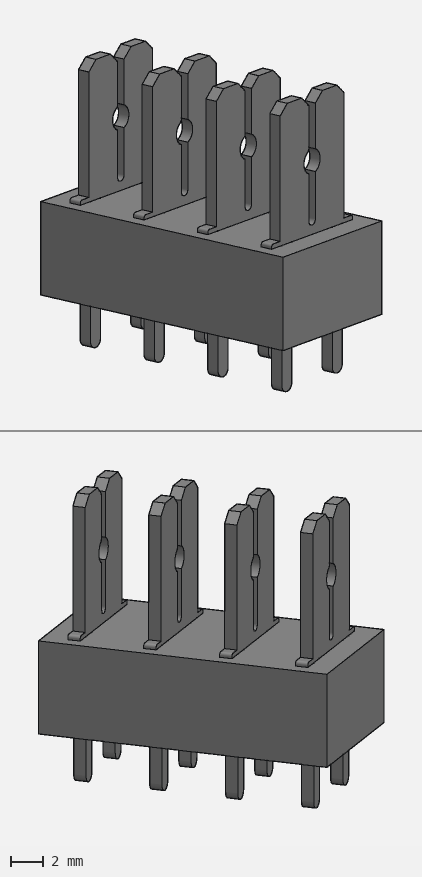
import cadquery as cq

HOUSING_LENGTH = 19.0
HOUSING_WIDTH = 9.8
HOUSING_HEIGHT = 6.0

CONTACT_COUNT = 4
CONTACT_PITCH = 5.0
CONTACT_THICKNESS = 0.82

BLADE_WIDTH = 6.33
BLADE_HEIGHT = 9.0
TIP_CHAMFER_WIDTH = 0.7
TIP_CHAMFER_HEIGHT = 0.65
SLOT_WIDTH = 0.65
SLOT_FLOOR_HEIGHT = 0.6
HOLE_DIAMETER = 1.6
HOLE_HEIGHT = 4.7

SHOULDER_WIDTH = 8.04
SHOULDER_HEIGHT = 0.3
SHOULDER_RADIUS = 0.19

LEG_SPACING = 5.0
LEG_WIDTH = 1.0
LEG_PROTRUSION = 3.5

CONTACT_POSITIONS = [
    (index - (CONTACT_COUNT - 1) / 2) * CONTACT_PITCH for index in range(CONTACT_COUNT)
]
LEG_POSITIONS = [-LEG_SPACING / 2, LEG_SPACING / 2]
BLADE_TOP = HOUSING_HEIGHT + BLADE_HEIGHT


def side_plane(x_position):
    """YZ plane on the left face of the contact centred at x_position."""
    return cq.Workplane("YZ", origin=(x_position - CONTACT_THICKNESS / 2, 0, 0))


def make_prong(x_position, side):
    """One prong of the fork, both top corners bevelled; side is -1 or 1 along Y."""
    inner = side * SLOT_WIDTH / 2
    outer = side * BLADE_WIDTH / 2
    bevel = side * TIP_CHAMFER_WIDTH
    bevel_bottom = BLADE_TOP - TIP_CHAMFER_HEIGHT
    return (
        side_plane(x_position)
        .moveTo(inner, HOUSING_HEIGHT)
        .lineTo(inner, bevel_bottom)
        .lineTo(inner + bevel, BLADE_TOP)
        .lineTo(outer - bevel, BLADE_TOP)
        .lineTo(outer, bevel_bottom)
        .lineTo(outer, HOUSING_HEIGHT)
        .close()
        .extrude(CONTACT_THICKNESS)
    )


def make_fork_root(x_position):
    """Web between the prongs, hollowed at the top to form the round slot bottom."""
    slot_radius = SLOT_WIDTH / 2
    arc_height = HOUSING_HEIGHT + SLOT_FLOOR_HEIGHT + slot_radius
    return (
        side_plane(x_position)
        .moveTo(-slot_radius, HOUSING_HEIGHT)
        .lineTo(-slot_radius, arc_height)
        .threePointArc((0, arc_height - slot_radius), (slot_radius, arc_height))
        .lineTo(slot_radius, HOUSING_HEIGHT)
        .close()
        .extrude(CONTACT_THICKNESS)
    )


def make_shoulder(x_position):
    """Low bar on the housing top with rounded upper ends."""
    return (
        side_plane(x_position)
        .center(0, HOUSING_HEIGHT + SHOULDER_HEIGHT / 2)
        .rect(SHOULDER_WIDTH, SHOULDER_HEIGHT)
        .extrude(CONTACT_THICKNESS)
        .edges(">Z and |X")
        .fillet(SHOULDER_RADIUS)
    )


def make_leg(x_position, y_position):
    """Straight leg from the shoulder to a round end below the housing."""
    leg_radius = LEG_WIDTH / 2
    left = y_position - leg_radius
    right = y_position + leg_radius
    arc_height = leg_radius - LEG_PROTRUSION
    return (
        side_plane(x_position)
        .moveTo(left, HOUSING_HEIGHT)
        .lineTo(left, arc_height)
        .threePointArc((y_position, -LEG_PROTRUSION), (right, arc_height))
        .lineTo(right, HOUSING_HEIGHT)
        .close()
        .extrude(CONTACT_THICKNESS)
    )


def make_contact(x_position):
    """Flat contact: forked blade, shoulder and two legs as one solid."""
    contact = make_shoulder(x_position).union(make_fork_root(x_position))
    for side in (-1, 1):
        contact = contact.union(make_prong(x_position, side))
    for y_position in LEG_POSITIONS:
        contact = contact.union(make_leg(x_position, y_position))
    hole = (
        side_plane(x_position)
        .center(0, HOUSING_HEIGHT + HOLE_HEIGHT)
        .circle(HOLE_DIAMETER / 2)
        .extrude(CONTACT_THICKNESS)
    )
    return contact.cut(hole).clean()


def make_housing():
    """Plain block with a rectangular through hole for every leg."""
    leg_holes = [(x, y) for x in CONTACT_POSITIONS for y in LEG_POSITIONS]
    block = cq.Workplane("XY").rect(HOUSING_LENGTH, HOUSING_WIDTH).extrude(HOUSING_HEIGHT)
    cutters = (
        cq.Workplane("XY")
        .pushPoints(leg_holes)
        .rect(CONTACT_THICKNESS, LEG_WIDTH)
        .extrude(HOUSING_HEIGHT)
    )
    return block.cut(cutters)


housing = make_housing()
contacts = [make_contact(x_position) for x_position in CONTACT_POSITIONS]

result = cq.Compound.makeCompound(
    [housing.val(), *[contact.val() for contact in contacts]]
)